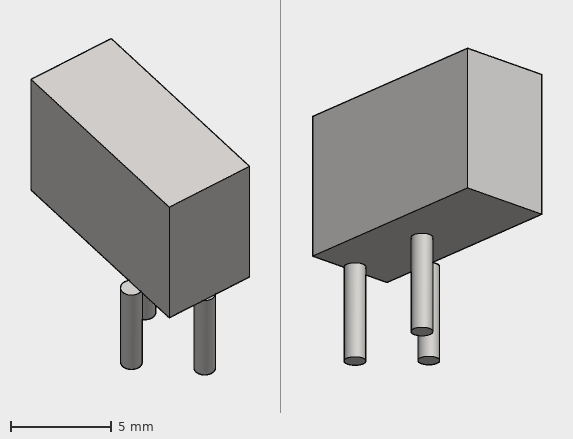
import cadquery as cq

total_height = 12.72

housing_length = 11.6
housing_width = 5.0
housing_height = 7.61

pin_diameter = 1.1
pin_length = total_height - housing_height
pin_pitch = 2.5
last_pin_overhang = 0.15
middle_pin_overhang = 0.75

pin_radius = pin_diameter / 2
last_pin_x = housing_length + last_pin_overhang - pin_radius
middle_pin_y = -housing_width / 2 - middle_pin_overhang + pin_radius
pin_centres = [
    (last_pin_x - 2 * pin_pitch, 0),
    (last_pin_x - pin_pitch, middle_pin_y),
    (last_pin_x, 0),
]


def make_housing():
    """Plain block standing on the plane of the pin tops."""
    return cq.Workplane("XY").box(
        housing_length, housing_width, housing_height, centered=(False, True, False)
    )


def make_pin(x, y):
    """Straight cylinder reaching down from Z = 0."""
    return cq.Workplane("XY").center(x, y).circle(pin_radius).extrude(-pin_length)


housing = make_housing()
pins = [make_pin(x, y) for x, y in pin_centres]

result = cq.Compound.makeCompound([housing.val(), *[pin.val() for pin in pins]])